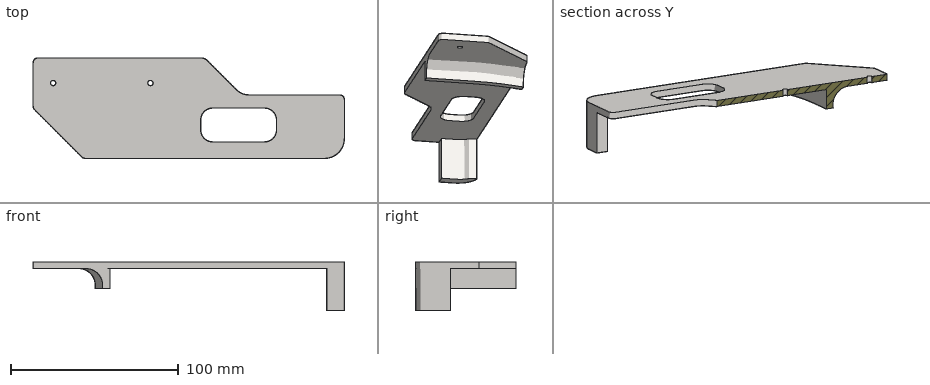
import cadquery as cq
import math

plate_length = 185.59
plate_width = 60.0
plate_thickness = 4.0
total_height = 29.0
plate_bottom = total_height - plate_thickness

bevel_leg = 30.0
narrow_width = 38.0
step_start = 102.3
step_end = step_start + plate_width - narrow_width
bevel_radius = 3.0
small_corner_radius = 3.0
step_outer_radius = 5.0
step_inner_radius = 10.0
post_corner_radius = 12.0

hole_diameter = 3.0
hole_y = 45.0
hole_xs = (12.0, 70.0)
slot_length = 45.0
slot_width = 20.0
slot_corner_radius = 7.0
slot_center = (122.5, 20.0)

hook_depth = 12.0
hook_thickness = 4.7
hook_face_x = 37.0
hook_bend_start = 30.0
hook_bend_end = 5.0
hook_bend_radius = 100.0
hook_turn = math.asin((hook_bend_start - hook_bend_end) / hook_bend_radius)
hook_tip_radius = 1.2
hook_root_radius = 9.75

post_thickness = 7.4
post_end_x = 175.0
post_end_y = 21.0
post_inner_radius = 11.0
post_lip_radius = 5.0


def extrude_between(sketch, bottom, top):
    return sketch.extrude(top - bottom).translate((0, 0, bottom))


def round_corner(body, x, y, radius):
    """Round the vertical edge of the body nearest to (x, y)."""
    nearest = cq.selectors.NearestToPointSelector((x, y, total_height - plate_thickness / 2))
    return body.edges("|Z").edges(nearest).fillet(radius)


def make_plate():
    corners = [
        (bevel_leg, 0, bevel_radius),
        (plate_length, 0, post_corner_radius),
        (plate_length, narrow_width, small_corner_radius),
        (step_end, narrow_width, step_inner_radius),
        (step_start, plate_width, step_outer_radius),
        (0, plate_width, small_corner_radius),
        (0, bevel_leg, bevel_radius),
    ]
    outline = cq.Workplane("XY").polyline([(x, y) for x, y, _ in corners]).close()
    plate = extrude_between(outline, plate_bottom, total_height)
    for x, y, radius in corners:
        plate = round_corner(plate, x, y, radius)
    return plate


def make_openings():
    holes = cq.Workplane("XY").pushPoints([(x, hole_y) for x in hole_xs]).circle(hole_diameter / 2)
    slot = cq.Workplane("XY").center(*slot_center).rect(slot_length, slot_width)
    slot_body = slot.extrude(total_height).edges("|Z").fillet(slot_corner_radius)
    return holes.extrude(total_height).union(slot_body)


def bend_point(offset, angle):
    """Point on the bend, the given distance inside the outer face, after turning by the angle."""
    radius = hook_bend_radius - offset
    center_x = hook_face_x + hook_bend_radius
    return (center_x - radius * math.cos(angle), hook_bend_start - radius * math.sin(angle))


def tip_point(offset, angle):
    """Point where the straight tip meets the long edge of the plate."""
    x, y = bend_point(offset, angle)
    return (x + y * math.tan(angle), 0)


def make_hook():
    inner_face_x = hook_face_x + hook_thickness
    inner_tip = tip_point(hook_thickness, hook_turn)
    outline = (
        cq.Workplane("XY")
        .moveTo(hook_face_x, plate_width)
        .lineTo(*bend_point(0, 0))
        .threePointArc(bend_point(0, hook_turn / 2), bend_point(0, hook_turn))
        .lineTo(*tip_point(0, hook_turn))
        .lineTo(*inner_tip)
        .lineTo(*bend_point(hook_thickness, hook_turn))
        .threePointArc(bend_point(hook_thickness, hook_turn / 2), bend_point(hook_thickness, 0))
        .lineTo(inner_face_x, plate_width)
        .close()
    )
    hook_bottom = plate_bottom - hook_depth
    hook = extrude_between(outline, hook_bottom, plate_bottom)
    tip_edge = cq.selectors.NearestToPointSelector((*inner_tip, plate_bottom - hook_depth / 2))
    return hook.edges("|Z").edges(tip_edge).fillet(hook_tip_radius)


def make_post():
    inner_face_x = plate_length - post_thickness
    corner_x = plate_length - post_corner_radius
    hollow_x = inner_face_x - post_inner_radius
    lip_x = post_end_x + post_lip_radius
    turn = math.acos((lip_x - hollow_x) / (post_inner_radius + post_lip_radius))
    lip_y = post_corner_radius - (post_inner_radius + post_lip_radius) * math.sin(turn)
    outer_turn = math.acos((post_end_x - corner_x) / post_corner_radius)

    def outer_point(angle):
        return (
            corner_x + post_corner_radius * math.cos(angle),
            post_corner_radius - post_corner_radius * math.sin(angle),
        )

    def hollow_point(angle):
        return (
            hollow_x + post_inner_radius * math.cos(angle),
            post_corner_radius - post_inner_radius * math.sin(angle),
        )

    def lip_point(angle):
        return (
            lip_x - post_lip_radius * math.cos(angle),
            lip_y + post_lip_radius * math.sin(angle),
        )

    outline = (
        cq.Workplane("XY")
        .moveTo(*outer_point(outer_turn))
        .threePointArc(outer_point(outer_turn / 2), outer_point(0))
        .lineTo(plate_length, post_end_y)
        .lineTo(inner_face_x, post_end_y)
        .lineTo(*hollow_point(0))
        .threePointArc(hollow_point(turn / 2), hollow_point(turn))
        .threePointArc(lip_point(turn / 2), lip_point(0))
        .close()
    )
    return extrude_between(outline, 0, plate_bottom)


def fillet_hook_root(body):
    """Fillet the outer face of the hook into the underside of the plate."""
    root_x, root_y = bend_point(0, hook_turn / 2)
    root_edge = cq.selectors.NearestToPointSelector((root_x, root_y, plate_bottom))
    return body.edges(root_edge).fillet(hook_root_radius)


body = make_plate().union(make_hook()).union(make_post())
body = fillet_hook_root(body)
result = body.cut(make_openings())